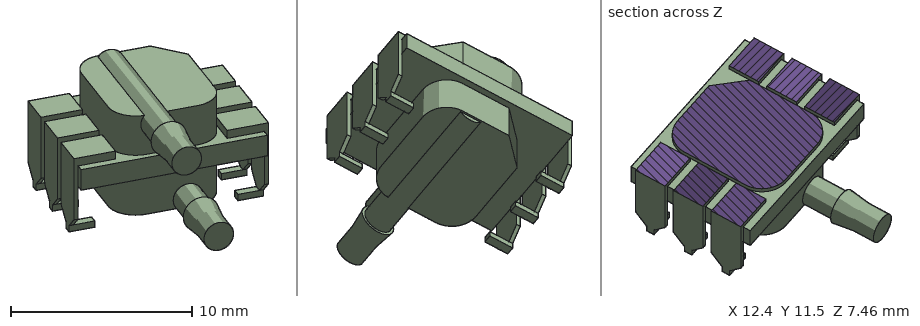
import cadquery as cq

plate_length = 8.0
plate_width = 11.0
plate_thickness = 1.3
plate_top = plate_thickness / 2

cap_length = 7.3
cap_width = 6.3
cap_height = 2.475
cap_corner = 1.625

tube_diameter = 1.75
tube_offset_y = 0.95
tube_axis_z = 2.5625
tube_inset = 0.1
tube_start_x = -cap_length / 2 + tube_inset
tube_end_x = 8.4

barb_diameter = 2.1
barb_length = 1.35
tip_length = 1.4
barb_end_x = tube_end_x - tip_length
barb_start_x = barb_end_x - barb_length

lead_pitch = 2.54
leads_per_side = 3
lead_width = 2.0
lead_height = 5.0
leg_thickness = 0.25
pad_length = 2.2
pad_thickness = 0.5
foot_width = 0.5
foot_length = 1.52
foot_height = 0.4
lead_top = plate_top + pad_thickness
lead_bottom = lead_top - lead_height
lead_outer_y = -plate_width / 2 - leg_thickness


def make_plate():
    return cq.Workplane("XY").box(plate_length, plate_width, plate_thickness)


def make_cap_block():
    """Block on the plate with one chamfered and three rounded corners."""
    block = (
        cq.Workplane("XY", origin=(0, 0, plate_top))
        .rect(cap_length, cap_width)
        .extrude(cap_height)
    )
    block = block.edges("|Z and (<X and >Y)").chamfer(cap_corner)
    square_corners = block.edges("|Z").edges(">X or <Y")
    return square_corners.fillet(cap_corner)


def make_port_tube():
    """Solid of revolution: plain tube with a hose barb near its tip."""
    tube_radius = tube_diameter / 2
    barb_radius = barb_diameter / 2
    return (
        cq.Workplane("XY")
        .moveTo(tube_start_x, 0)
        .lineTo(tube_start_x, tube_radius)
        .lineTo(barb_start_x, tube_radius)
        .lineTo(barb_start_x, barb_radius)
        .lineTo(barb_end_x, tube_radius)
        .lineTo(tube_end_x, tube_radius)
        .lineTo(tube_end_x, 0)
        .close()
        .revolve(360, (0, 0, 0), (1, 0, 0))
        .translate((0, -tube_offset_y, tube_axis_z))
    )


def make_ported_cap():
    return make_cap_block().union(make_port_tube())


def make_lead(x):
    """Lead on the -Y edge: pad on the plate, leg down the edge, foot turned inwards."""
    half_width = lead_width / 2
    half_foot = foot_width / 2
    foot_top = lead_bottom + foot_height
    taper_top = foot_top + half_width - half_foot
    leg = (
        cq.Workplane("XZ", origin=(x, lead_outer_y, 0))
        .polyline([
            (-half_width, lead_top),
            (half_width, lead_top),
            (half_width, taper_top),
            (half_foot, foot_top),
            (half_foot, lead_bottom),
            (-half_foot, lead_bottom),
            (-half_foot, foot_top),
            (-half_width, taper_top),
        ])
        .close()
        .extrude(-leg_thickness)
    )
    pad = (
        cq.Workplane("XY")
        .box(lead_width, leg_thickness + pad_length, pad_thickness, centered=(True, False, False))
        .translate((x, lead_outer_y, plate_top))
    )
    foot = (
        cq.Workplane("XY")
        .box(foot_width, foot_length, foot_height, centered=(True, False, False))
        .translate((x, lead_outer_y, lead_bottom))
    )
    return leg.union(pad).union(foot)


plate = make_plate()
upper_cap = make_ported_cap()
lower_cap = make_ported_cap().rotate((0, 0, 0), (1, 0, 0), 180)

leads = []
for index in range(leads_per_side):
    lead = make_lead((index - (leads_per_side - 1) / 2) * lead_pitch)
    leads.append(lead)
    leads.append(lead.mirror("XZ"))

result = cq.Compound.makeCompound([
    plate.val(),
    upper_cap.val(),
    lower_cap.val(),
    *[lead.val() for lead in leads],
])